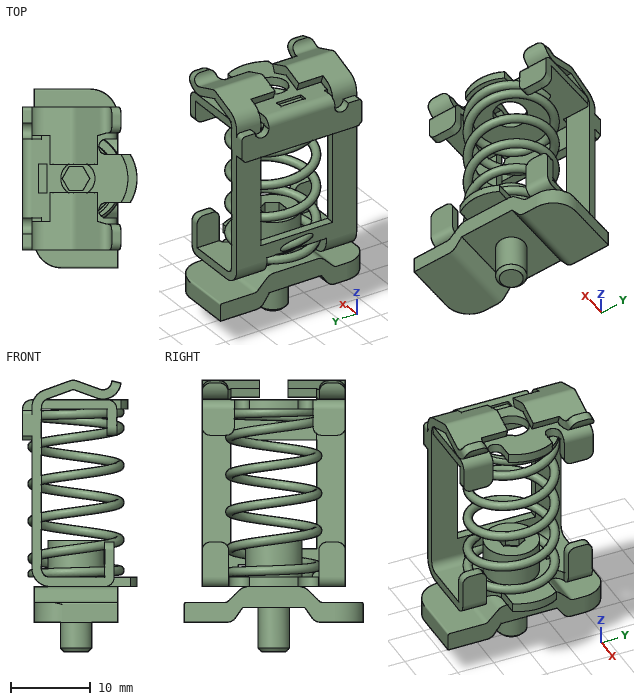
import cadquery as cq
import math


total_height = 34.15
sheet = 1.2
fold_outer = sheet - 0.005
frame_half_width = 18.0 / 2
bend_inner = 1.1
bend_outer = bend_inner + sheet

base_bottom = 8.2
base_top = base_bottom + sheet
post_outer_x = -5.55
post_inner_x = post_outer_x + sheet
bend_axis_x = post_outer_x + bend_outer
window_half_width = 5.4
crossbar_bottom = 10.93
crossbar_top = 12.98
notch_half_width = 4.45

tongue_half_width = 3.05
tongue_radius = 5.8
relief_reach = 1.05
ear_corner = 1.02
base_tongue_tip = 7.7
base_ear_x = 3.6
base_ear_inner_y = 5.67
base_ear_top = 13.8
top_tongue_tip = 6.52
top_ear_x = 3.93
top_ear_inner_y = 4.95
top_ear_bottom = 27.23

arm_slope = 20.0
arm_peak_x = -0.35
arm_inner_y = 1.78
arm_wide_start = -3.28
arm_wide_end = 2.73
curl_start_x = 3.0
curl_turn = 96.0
tip_straight = 0.3
tip_inner_y = 5.75
tip_taper_end = 3.9
tip_corner = 1.1

top_plate_top = 31.7
top_plate_bottom = top_plate_top - sheet
strap_outer_x = post_outer_x - sheet
strap_bottom = 26.6
strap_chamfer = 0.5
strap_corner = 0.5
strap_shoulder = 30.37
strap_notch_outer_y = 6.97
strap_notch_bottom = 29.4
strap_notch_corner = 1.0
slit_center_x = -4.2
slit_size_x = 1.05
slit_size_y = 3.62
slit_depth = 0.35
access_hole_x = 0.25
access_hole_radius = 2.15

clamp_half_length = 22.5 / 2
clamp_half_depth = 5.25
clamp_corner = 3.52
clamp_edge = 0.25
flange_top = 6.22
flange_bottom = 3.72
arch_bottom = 5.57
arch_half_width = 3.9
arch_foot_y = 5.2
shoulder_fillet = 1.5
shoulder_foot_fillet = 0.85
arch_foot_fillet = 1.3

head_radius = 3.55
head_top = 14.0
shank_radius = 1.98
shank_chamfer = 0.48
socket_flats = 3.0
socket_depth = 2.0

coil_radius = 5.45
wire_radius = 0.58
pitch = 4.68
end_pitch = 0.92
ease_start = 1.76
ease_end = 2.3
end_turns = 3.0


def block(x0, x1, y0, y1, z0, z1):
    return cq.Workplane("XY").box(x1 - x0, y1 - y0, z1 - z0, centered=False).translate((x0, y0, z0))


def both_sides(body):
    """Join a body with its mirror image across the XZ plane."""
    return body.union(body.mirror("XZ"))


def ear(x0, inner_y, flat_z, end_z):
    """Ear folded off a plate: rounded fold at flat_z, two rounded corners at end_z."""
    body = block(x0, x0 + sheet, inner_y, frame_half_width, min(flat_z, end_z), max(flat_z, end_z))
    free_end, folded_end = (">Z", "<Z") if end_z > flat_z else ("<Z", ">Z")
    body = body.faces(free_end).edges("|X").fillet(ear_corner)
    return body.faces(folded_end).edges(">X").fillet(fold_outer)


def plate(x0, ear_x, ear_inner_y, tongue_tip, z0):
    """Flat plate with a round-ended tongue and a slot-shaped relief on each side of it."""
    wide = block(x0, ear_x, -frame_half_width, frame_half_width, z0, z0 + sheet)
    tongue = block(0, tongue_tip, -tongue_half_width, tongue_half_width, z0, z0 + sheet)
    round_end = cq.Workplane("XY", origin=(tongue_tip - tongue_radius, 0, z0)).circle(tongue_radius)
    tongue = tongue.intersect(round_end.extrude(sheet))
    relief_radius = (ear_inner_y - tongue_half_width) / 2
    relief_center_x = ear_x - relief_reach + relief_radius
    relief_end = cq.Workplane("XY", origin=(relief_center_x, tongue_half_width + relief_radius, z0))
    relief = relief_end.circle(relief_radius).extrude(sheet)
    relief = relief.union(
        block(relief_center_x, tongue_tip, tongue_half_width, ear_inner_y, z0, z0 + sheet))
    return wide.union(tongue).cut(both_sides(relief))


def make_frame():
    """Two posts with a crossbar, rolled at the foot into the base plate and at the head into arms."""
    slope = math.radians(arm_slope)

    apex_z = total_height + sheet * (1 / math.cos(slope) - 1)
    bend_end_x = bend_axis_x - bend_outer * math.sin(slope)
    bend_end_z = apex_z - (arm_peak_x - bend_end_x) * math.tan(slope)
    post_top = bend_end_z - bend_outer * math.cos(slope)
    inner_peak_z = total_height - sheet
    peak_end_z = inner_peak_z + sheet * math.cos(slope)
    peak_half = sheet * math.sin(slope)
    curl_start_z = apex_z - (curl_start_x - arm_peak_x) * math.tan(slope)
    curl_x = curl_start_x + bend_inner * math.sin(slope)
    curl_z = curl_start_z + bend_inner * math.cos(slope)
    start_angle = -90 - arm_slope
    end_angle = start_angle + curl_turn
    middle_angle = start_angle + curl_turn / 2

    def arc_point(center_x, center_z, radius, degrees):
        angle = math.radians(degrees)
        return (center_x + radius * math.cos(angle), center_z + radius * math.sin(angle))

    def tip(radius):
        x, z = arc_point(curl_x, curl_z, radius, end_angle)
        angle = math.radians(end_angle)
        return (x - tip_straight * math.sin(angle), z + tip_straight * math.cos(angle))

    foot_middle = 180 + 90 / 2
    head_middle = 180 - (90 - arm_slope) / 2
    head_end = 90 + arm_slope
    outline = (
        cq.Workplane("XZ")
        .moveTo(bend_axis_x, base_bottom)
        .threePointArc(arc_point(bend_axis_x, base_bottom + bend_outer, bend_outer, foot_middle),
                       (post_outer_x, base_bottom + bend_outer))
        .lineTo(post_outer_x, post_top)
        .threePointArc(arc_point(bend_axis_x, post_top, bend_outer, head_middle), (bend_end_x, bend_end_z))
        .lineTo(arm_peak_x - peak_half, peak_end_z)
        .threePointArc((arm_peak_x, total_height), (arm_peak_x + peak_half, peak_end_z))
        .lineTo(curl_start_x, curl_start_z)
        .threePointArc(arc_point(curl_x, curl_z, bend_inner, middle_angle),
                       arc_point(curl_x, curl_z, bend_inner, end_angle))
        .lineTo(*tip(bend_inner))
        .lineTo(*tip(bend_outer))
        .lineTo(*arc_point(curl_x, curl_z, bend_outer, end_angle))
        .threePointArc(arc_point(curl_x, curl_z, bend_outer, middle_angle),
                       arc_point(curl_x, curl_z, bend_outer, start_angle))
        .lineTo(arm_peak_x, inner_peak_z)
        .lineTo(*arc_point(bend_axis_x, post_top, bend_inner, head_end))
        .threePointArc(arc_point(bend_axis_x, post_top, bend_inner, head_middle), (post_inner_x, post_top))
        .lineTo(post_inner_x, base_bottom + bend_outer)
        .threePointArc(arc_point(bend_axis_x, base_bottom + bend_outer, bend_inner, foot_middle),
                       (bend_axis_x, base_top))
        .close()
    )
    strip = outline.extrude(frame_half_width, both=True)

    def opening_end(wide_x, slope_direction, far_x):
        edge_top_z = apex_z - abs(wide_x - arm_peak_x) * math.tan(slope)
        edge_bottom_x = wide_x - sheet * slope_direction * math.sin(slope)
        edge_bottom_z = edge_top_z - sheet * math.cos(slope)
        return (
            cq.Workplane("XZ")
            .moveTo(wide_x, total_height)
            .lineTo(wide_x, edge_top_z)
            .lineTo(edge_bottom_x, edge_bottom_z)
            .lineTo(edge_bottom_x, crossbar_top)
            .lineTo(far_x, crossbar_top)
            .lineTo(far_x, total_height)
            .close()
            .extrude(window_half_width, both=True)
        )

    tip_taper = (
        cq.Workplane("XY", origin=(0, 0, crossbar_top))
        .polyline([(arm_wide_end, window_half_width), (tip_taper_end, tip_inner_y),
                   (base_tongue_tip, tip_inner_y), (base_tongue_tip, 0), (arm_wide_end, 0)])
        .close()
        .extrude(total_height)
    )
    arm_gap = block(post_inner_x, base_tongue_tip, -arm_inner_y, arm_inner_y, crossbar_top, total_height)
    strip = strip.cut(arm_gap).cut(both_sides(tip_taper))
    strip = strip.cut(opening_end(arm_wide_start, -1, strap_outer_x))
    strip = strip.cut(opening_end(arm_wide_end, 1, base_tongue_tip))
    foot_notch = block(strap_outer_x, bend_axis_x, -notch_half_width, notch_half_width,
                       base_bottom, crossbar_bottom)
    strip = strip.cut(foot_notch)

    tip_middle_x = (tip(bend_inner)[0] + tip(bend_outer)[0]) / 2
    tip_middle_z = (tip(bend_inner)[1] + tip(bend_outer)[1]) / 2
    for side_y in (tip_inner_y, frame_half_width):
        for sign in (-1, 1):
            corner = cq.NearestToPointSelector((tip_middle_x, sign * side_y, tip_middle_z))
            strip = strip.edges(corner).fillet(tip_corner)

    base = plate(bend_axis_x, base_ear_x, base_ear_inner_y, base_tongue_tip, base_bottom)
    ears = both_sides(ear(base_ear_x, base_ear_inner_y, base_bottom, base_ear_top))
    return strip.union(base).union(ears)


def make_top_plate():
    """Plate over the spring, folded down in front of the posts as a wide strap."""
    flat = plate(post_inner_x, top_ear_x, top_ear_inner_y, top_tongue_tip, top_plate_bottom)
    flat = flat.edges("|Z and <X").fillet(strap_corner)
    neck = block(strap_outer_x, post_inner_x + strap_corner, -top_ear_inner_y, top_ear_inner_y,
                 top_plate_bottom, top_plate_top)
    neck = neck.edges("|Y and <X and >Z").fillet(fold_outer)

    strap = block(strap_outer_x, post_outer_x, -frame_half_width, frame_half_width,
                  strap_bottom, strap_shoulder)
    strap = strap.edges("|X and <Z").chamfer(strap_chamfer)
    strap = strap.edges("|X and >Z").fillet(strap_corner)
    notch = block(strap_outer_x, post_outer_x, top_ear_inner_y, strap_notch_outer_y,
                  strap_notch_bottom, top_plate_top)
    notch = notch.edges("|X and <Z").fillet(strap_notch_corner)
    strap = strap.cut(both_sides(notch))
    strap = strap.union(block(strap_outer_x, post_outer_x, -top_ear_inner_y, top_ear_inner_y,
                              strap_shoulder, top_plate_bottom))

    ears = both_sides(ear(top_ear_x, top_ear_inner_y, top_plate_top, top_ear_bottom))
    body = flat.union(neck).union(strap).union(ears)

    slit = block(slit_center_x - slit_size_x / 2, slit_center_x + slit_size_x / 2,
                 -slit_size_y / 2, slit_size_y / 2, top_plate_top - slit_depth, top_plate_top)
    hole = cq.Workplane("XY", origin=(access_hole_x, 0, top_plate_bottom)).circle(access_hole_radius)
    return body.cut(slit).cut(hole.extrude(sheet))


def make_clamp():
    """Arched bar across the foot with two diagonally opposite rounded corners."""
    shoulder_foot = arch_half_width + (base_bottom - flange_top)
    half = (
        cq.Workplane("YZ")
        .moveTo(0, base_bottom)
        .lineTo(arch_half_width, base_bottom)
        .lineTo(shoulder_foot, flange_top)
        .lineTo(clamp_half_length, flange_top)
        .lineTo(clamp_half_length, flange_bottom)
        .lineTo(arch_foot_y, flange_bottom)
        .lineTo(arch_half_width, arch_bottom)
        .lineTo(0, arch_bottom)
        .close()
        .extrude(clamp_half_depth, both=True)
    )

    def rounded(body, y, z, radius):
        return body.edges(cq.NearestToPointSelector((0, y, z))).fillet(radius)

    half = rounded(half, arch_half_width, base_bottom, shoulder_fillet)
    half = rounded(half, shoulder_foot, flange_top, shoulder_foot_fillet)
    half = rounded(half, arch_foot_y, flange_bottom, arch_foot_fillet)
    half = rounded(half, clamp_half_length, flange_top, clamp_edge)

    plan = block(-clamp_half_depth, clamp_half_depth, -clamp_half_length, clamp_half_length,
                 flange_bottom, base_bottom)
    plan = plan.edges("(|Z and <X and <Y) or (|Z and >X and >Y)").fillet(clamp_corner)
    return both_sides(half).intersect(plan)


def make_screw():
    shank = cq.Workplane("XY").circle(shank_radius).extrude(base_top)
    shank = shank.faces("<Z").chamfer(shank_chamfer)
    head = cq.Workplane("XY", origin=(0, 0, base_top)).circle(head_radius)
    socket = cq.Workplane("XY", origin=(0, 0, head_top - socket_depth))
    socket = socket.polygon(6, socket_flats / math.cos(math.pi / 6)).extrude(socket_depth)
    return shank.union(head.extrude(head_top - base_top)).cut(socket)


def make_spring():
    """Constant pitch in the middle, easing into closed end coils that are ground flat on both plates."""
    middle_z = (base_top + top_plate_bottom) / 2
    ease_span = ease_end - ease_start

    def height(turns):
        distance = abs(turns)
        eased = min(max(distance - ease_start, 0), ease_span)
        closed = max(distance - ease_end, 0)
        offset = (pitch * min(distance, ease_end) + end_pitch * closed
                  - (pitch - end_pitch) * eased ** 2 / (2 * ease_span))
        return middle_z + math.copysign(offset, turns)

    def wire_point(turns):
        angle = 2 * math.pi * turns + math.pi / 2
        return (coil_radius * math.cos(angle), coil_radius * math.sin(angle), height(turns))

    steps_per_turn = 16
    steps = round(end_turns * steps_per_turn)
    points = [wire_point(step / steps_per_turn) for step in range(-steps, steps + 1)]
    path = cq.Workplane("XY").spline(points)
    start = cq.Plane(origin=points[0], normal=path.val().tangentAt(0))
    coil = cq.Workplane(start).circle(wire_radius).sweep(path, isFrenet=True)
    reach = coil_radius + 2 * wire_radius
    return coil.intersect(block(-reach, reach, -reach, reach, base_top, top_plate_bottom))


result = make_frame()
for component in (make_top_plate(), make_clamp(), make_screw(), make_spring()):
    result = result.union(component)